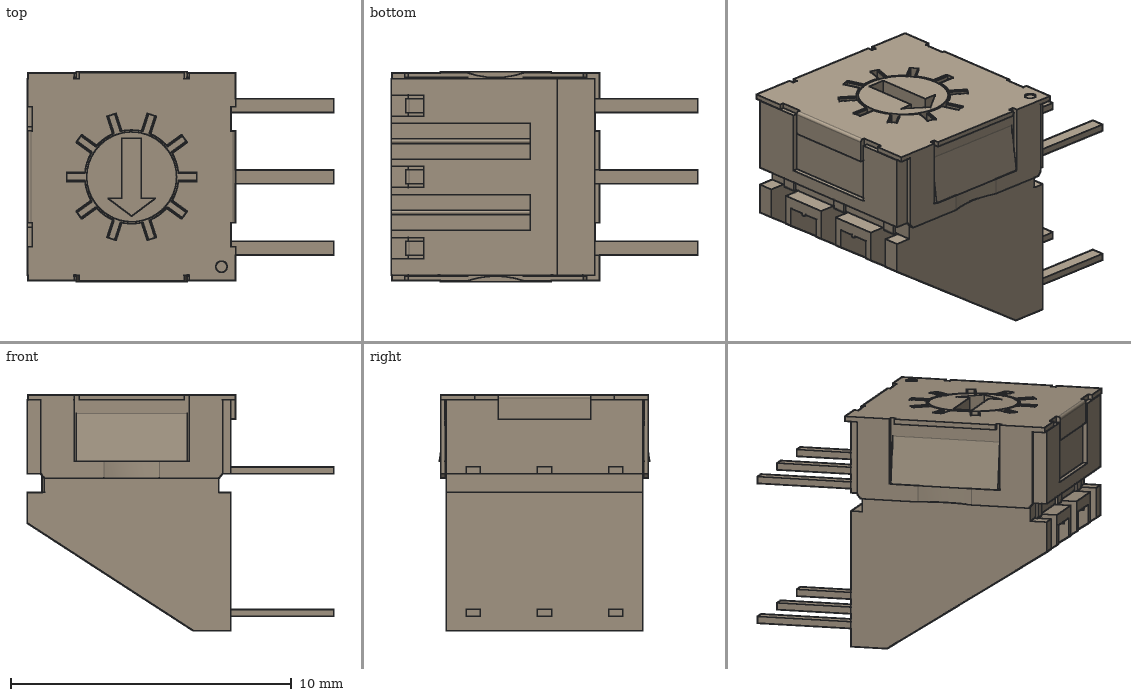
import cadquery as cq
import math


total_height = 8.4
sheet = 0.18
plate_bottom = total_height - sheet
base_top = 4.93
housing_bottom = 5.59

x_left = -3.72
x_right = 3.53
half_depth = 3.5
neck_half_x = 3.11
slope_start_z = 3.83
slope_end_x = 2.19

cover_half = 3.7
wall_thickness = 0.16
wall_half_x = 3.24
wall_bottom = 5.44
wall_corner_x = 0.12
wall_corner_z = 0.15

window_half_x = 2.05
window_bottom = 6.04
ramp_half_x = 1.98
ramp_top = 7.75
ramp_reach = 3.745
notch_width = 0.18
notch_depth = 0.2
dent_radius = 3.1
dent_half_x = 0.99

tab_half_y = 1.64
tab_bottom = 7.54
tab_bend_radius = 0.1
tab_notch_end_y = 2.49
tab_notch_x = 3.54
recess_half_y = 1.79
recess_bottom = 6.05

dial_radius = 1.6
dial_hole_radius = 1.67
groove_depth = 0.5
tick_count = 10
tick_end_radius = 2.32
tick_width = 0.34
tick_inner_width = 0.24
tick_step_depth = 0.05
arrow_depth = 1.0
arrow_half_shaft = 0.35
arrow_tail_y = 1.375
arrow_half_head = 0.84
arrow_head_y = -0.77
arrow_tip_y = -1.4
mark_radius = 0.2
mark_offset = 3.2
mark_depth = 0.05

pitch = 2.54
pin_width = 0.5
pin_thickness = 0.25
pin_tip_x = 7.2
pin_embed = 0.5
lower_pin_bottom = 0.51
upper_pin_bottom = lower_pin_bottom + 2 * pitch
terminal_outer_x = -3.2
terminal_bottom = 4.86
terminal_bend_radius = 0.1
slot_width = 0.75
slot_bottom = 3.08
pocket_width = 1.28
pocket_bottom = 0.62
pocket_top = 4.52
nub_radius = 0.085

pin_rows = (-pitch, 0, pitch)
sides = (-1, 1)


def box(x0, x1, y0, y1, z0, z1):
    """Axis-aligned block between two corners, given in either order."""
    low = (min(x0, x1), min(y0, y1), min(z0, z1))
    size = (abs(x1 - x0), abs(y1 - y0), abs(z1 - z0))
    return cq.Workplane("XY").box(*size, centered=False).translate(low)


def slope_x(z):
    """X position of the sloped underside at height z."""
    return x_left + (slope_end_x - x_left) * (slope_start_z - z) / slope_start_z


def make_base():
    outline = [
        (x_left, base_top),
        (x_right, base_top),
        (x_right, 0),
        (slope_end_x, 0),
        (x_left, slope_start_z),
    ]
    base = cq.Workplane("XZ").polyline(outline).close().extrude(half_depth, both=True)

    slot_back = slope_x(slot_bottom)
    for y in pin_rows:
        base = base.cut(
            box(x_left, slot_back, y - slot_width / 2, y + slot_width / 2, 0, base_top)
        )

    pocket_back = slope_x(pocket_bottom)
    for side in sides:
        y = side * pitch / 2
        base = base.cut(
            box(x_left, pocket_back, y - pocket_width / 2, y + pocket_width / 2, 0, pocket_top)
        )
        nub = (
            cq.Workplane("YZ", origin=(x_left, 0, 0))
            .center(y, pocket_top)
            .circle(nub_radius)
            .extrude(pocket_back - x_left)
        )
        base = base.union(nub)
    return base


def make_housing():
    housing = box(x_left, x_right, -half_depth, half_depth, housing_bottom, plate_bottom)
    recess = box(
        x_left, -tab_notch_x, -recess_half_y, recess_half_y, recess_bottom, plate_bottom
    )
    neck = box(-neck_half_x, neck_half_x, -half_depth, half_depth, base_top, housing_bottom)
    return housing.cut(recess).union(neck)


def make_ramp(side):
    """Snap ramp standing out of the housing into the window of one cover wall."""
    profile = [
        (side * half_depth, ramp_top),
        (side * ramp_reach, window_bottom),
        (side * half_depth, window_bottom),
    ]
    return cq.Workplane("YZ").polyline(profile).close().extrude(ramp_half_x, both=True)


def make_wall(side):
    """Cover wall on one Y side, with chamfered lower corners and a dent under its window."""
    outline = [
        (-wall_half_x, plate_bottom),
        (-wall_half_x, wall_bottom + wall_corner_z),
        (-wall_half_x + wall_corner_x, wall_bottom),
        (wall_half_x - wall_corner_x, wall_bottom),
        (wall_half_x, wall_bottom + wall_corner_z),
        (wall_half_x, plate_bottom),
    ]
    wall = (
        cq.Workplane("XZ", origin=(0, side * (cover_half - wall_thickness / 2), 0))
        .polyline(outline)
        .close()
        .extrude(wall_thickness / 2, both=True)
    )
    outer_y = side * cover_half
    wall = wall.cut(
        box(-window_half_x, window_half_x, 0, outer_y, window_bottom, plate_bottom)
    )
    backing = box(
        -dent_half_x, dent_half_x, side * half_depth, outer_y, wall_bottom, window_bottom
    )
    dent_axis_y = side * (cover_half + math.sqrt(dent_radius**2 - dent_half_x**2))
    dent = (
        cq.Workplane("XY", origin=(0, dent_axis_y, wall_bottom))
        .circle(dent_radius)
        .extrude(window_bottom - wall_bottom)
    )
    return wall.union(backing).cut(dent)


def make_tab(side):
    """Cover tab bent down from the plate on one X side."""
    tab = box(
        side * x_right, side * cover_half, -tab_half_y, tab_half_y, tab_bottom, total_height
    )
    outer_face = ">X" if side > 0 else "<X"
    return tab.faces(outer_face).edges(">Z").fillet(tab_bend_radius)


def make_cover():
    cover = box(-cover_half, cover_half, -cover_half, cover_half, plate_bottom, total_height)

    for side in sides:
        cover = cover.cut(
            box(
                side * tab_notch_x,
                side * cover_half,
                -tab_notch_end_y,
                tab_notch_end_y,
                plate_bottom,
                total_height,
            )
        )

    for x_side in sides:
        for y_side in sides:
            cover = cover.cut(
                box(
                    x_side * (window_half_x - notch_width),
                    x_side * window_half_x,
                    y_side * (cover_half - notch_depth),
                    y_side * cover_half,
                    plate_bottom,
                    total_height,
                )
            )

    for side in sides:
        cover = cover.union(make_tab(side)).union(make_wall(side))
    return cover


def sunk_ring():
    """Clearance groove between the dial and the cover."""
    return (
        cq.Workplane("XY", origin=(0, 0, total_height))
        .circle(dial_hole_radius)
        .circle(dial_radius)
        .extrude(-groove_depth)
    )


def sunk_tick(angle):
    """Stepped radial slot running outward from the clearance groove."""
    start = (dial_radius + dial_hole_radius) / 2
    step_bottom = total_height - tick_step_depth
    upper = box(
        start, tick_end_radius, -tick_width / 2, tick_width / 2, step_bottom, total_height
    )
    lower = box(
        start,
        tick_end_radius,
        -tick_inner_width / 2,
        tick_inner_width / 2,
        total_height - groove_depth,
        step_bottom,
    )
    return upper.union(lower).rotate((0, 0, 0), (0, 0, 1), angle)


def sunk_arrow():
    """Screwdriver recess in the dial, shaped as an arrow pointing to -Y."""
    outline = [
        (-arrow_half_shaft, arrow_tail_y),
        (arrow_half_shaft, arrow_tail_y),
        (arrow_half_shaft, arrow_head_y),
        (arrow_half_head, arrow_head_y),
        (0, arrow_tip_y),
        (-arrow_half_head, arrow_head_y),
        (-arrow_half_shaft, arrow_head_y),
    ]
    return (
        cq.Workplane("XY", origin=(0, 0, total_height))
        .polyline(outline)
        .close()
        .extrude(-arrow_depth)
    )


def sunk_mark():
    """Shallow round mark in the +X, -Y corner of the cover."""
    return (
        cq.Workplane("XY", origin=(mark_offset, -mark_offset, total_height))
        .circle(mark_radius)
        .extrude(-mark_depth)
    )


def make_pin(y, z_bottom):
    return box(
        x_right - pin_embed,
        pin_tip_x,
        y - pin_width / 2,
        y + pin_width / 2,
        z_bottom,
        z_bottom + pin_thickness,
    )


def make_terminal(y):
    """Bent terminal running down the -X face of the neck and under it."""
    terminal = box(
        terminal_outer_x,
        slope_x(slot_bottom),
        y - pin_width / 2,
        y + pin_width / 2,
        terminal_bottom,
        housing_bottom,
    )
    return terminal.faces("<X").edges("<Z").fillet(terminal_bend_radius)


result = make_base().union(make_housing()).union(make_cover())
for side in sides:
    result = result.union(make_ramp(side))

for y in pin_rows:
    result = result.union(make_terminal(y))
    for z_bottom in (lower_pin_bottom, upper_pin_bottom):
        result = result.union(make_pin(y, z_bottom))

result = result.cut(sunk_ring()).cut(sunk_arrow()).cut(sunk_mark())
for index in range(tick_count):
    result = result.cut(sunk_tick(index * 360 / tick_count))